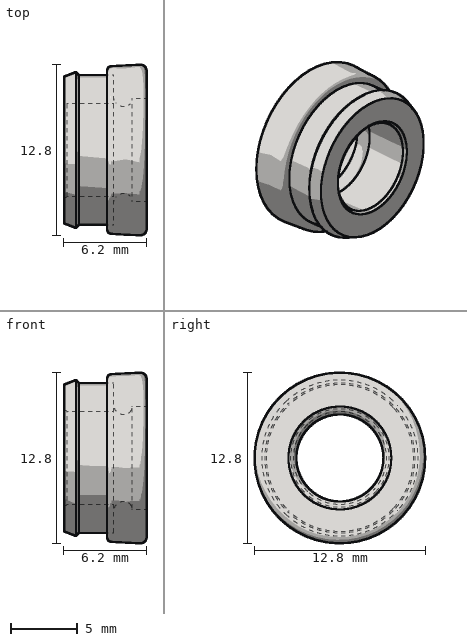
import cadquery as cq

total_length = 6.2

sleeve_length = 3.69
sleeve_radius = 5.62
barb_tip_radius = 5.5
barb_crest_radius = 5.85
barb_crest_x = 0.88
barb_end_x = barb_crest_x + barb_crest_radius - sleeve_radius
bore_radius = 3.48
bore_chamfer = 0.2

cap_start_x = 3.2
cap_front_radius = 6.27
cap_back_radius = 6.43
cap_front_fillet = 0.38
cap_back_fillet = 0.5
cap_hole_radius = 3.25
lip_front_round = 0.8
lip_back_round = 0.6
lip_crest_x = sleeve_length + lip_front_round
lip_back_x = lip_crest_x + lip_back_round
rear_bore_radius = cap_hole_radius + lip_back_round



def revolve_about_x(profile):
    """Turn a closed profile, drawn as (x, radius), a full turn about X."""
    return profile.close().revolve(360, (0, 0, 0), (1, 0, 0))


def make_sleeve():
    """Barbed sleeve with a chamfered bore entry."""
    profile = (
        cq.Workplane("XY")
        .moveTo(0, bore_radius + bore_chamfer)
        .lineTo(0, barb_tip_radius)
        .lineTo(barb_crest_x, barb_crest_radius)
        .lineTo(barb_end_x, sleeve_radius)
        .lineTo(sleeve_length, sleeve_radius)
        .lineTo(sleeve_length, bore_radius)
        .lineTo(bore_chamfer, bore_radius)
    )
    return revolve_about_x(profile)


def round_edge(body, x, radius, fillet):
    """Round the circular edge of the given radius that lies at x."""
    margin = 0.01
    reach = radius + margin
    box = cq.selectors.BoxSelector((x - margin, -reach, -reach), (x + margin, reach, reach))
    circle = cq.selectors.RadiusNthSelector(-1)
    return body.edges(box).edges("%CIRCLE").edges(circle).fillet(fillet)


def make_cap():
    """Slightly tapered cap with a sleeve recess, a rounded lip in its hole and rounded edges."""
    profile = (
        cq.Workplane("XY")
        .moveTo(cap_start_x, sleeve_radius)
        .lineTo(cap_start_x, cap_front_radius)
        .lineTo(total_length, cap_back_radius)
        .lineTo(total_length, rear_bore_radius)
        .lineTo(lip_back_x, rear_bore_radius)
        .radiusArc((lip_crest_x, cap_hole_radius), lip_back_round)
        .radiusArc((sleeve_length, cap_hole_radius + lip_front_round), lip_front_round)
        .lineTo(sleeve_length, sleeve_radius)
    )
    cap = revolve_about_x(profile)
    cap = round_edge(cap, cap_start_x, cap_front_radius, cap_front_fillet)
    return round_edge(cap, total_length, cap_back_radius, cap_back_fillet)


sleeve = make_sleeve()
cap = make_cap()
result = cq.Compound.makeCompound([sleeve.val(), cap.val()])